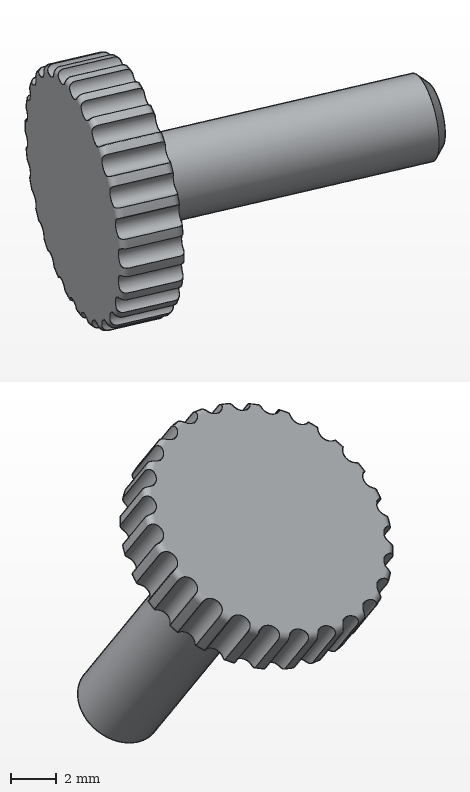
import cadquery as cq

total_length = 17.0
head_diameter = 12.0
head_thickness = 3.0
head_edge_radius = 0.3
shaft_diameter = 4.0
tip_chamfer = 0.5
groove_count = 26
groove_radius = 0.5

head_radius = head_diameter / 2
first_groove_angle = 90


def cylinder_along_y(diameter, length):
    """Cylinder from Y = 0 toward +Y, centred on the Y axis."""
    return cq.Workplane("XZ").circle(diameter / 2).extrude(-length)


def make_head():
    """Disc with rounded rims and round grip grooves centred on its outer circle."""
    disc = cylinder_along_y(head_diameter, head_thickness).edges().fillet(head_edge_radius)
    grooves = (
        cq.Workplane("XZ")
        .polarArray(head_radius, first_groove_angle, 360, groove_count)
        .circle(groove_radius)
        .extrude(-head_thickness)
    )
    return disc.cut(grooves)


def make_shaft():
    """Plain shaft, chamfered at its free end."""
    return cylinder_along_y(shaft_diameter, total_length).faces(">Y").chamfer(tip_chamfer)


result = make_head().union(make_shaft())